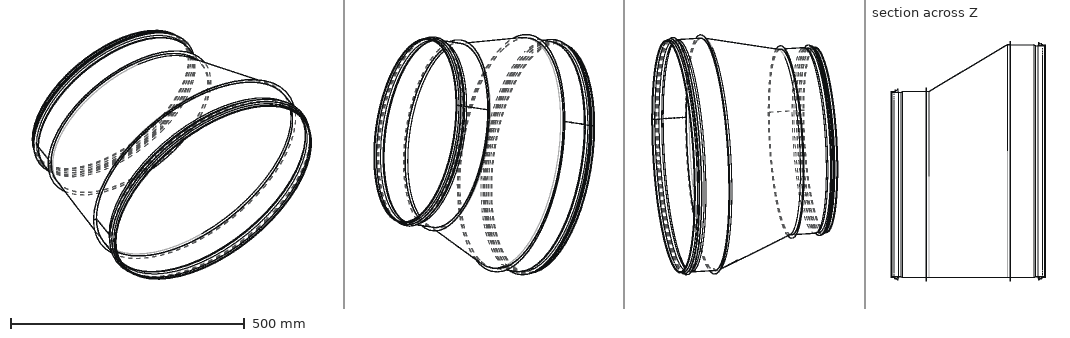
import cadquery as cq

length = 331.0
small_radius = 399.0 / 2
large_radius = 499.0 / 2
wall = 0.5

large_axis_y = 0
small_axis_y = small_radius - large_radius

groove_depth = 1.8
hem_length = 6.5
groove_end = 21.5
ramp_end = 25.0

joint = 75.5
flange_height = 7.0
cone_start = 81.5

seam_gap = 0.25

foot_start = 2.0
gasket_end = 16.0
short_lip_root = 7.0
short_lip_tip = 9.0
short_lip_height = 2.8
valley_depth = 11.5
valley_height = 1.5
long_lip_tip = 14.5
long_lip_height = 5.0
lip_thickness = 1.0

small_end = (0, 1, small_axis_y, small_radius)
large_end = (length, -1, large_axis_y, large_radius)


def ring(outline_points, end):
    """Revolve an outline of (depth from the open end, height above the pipe) points.

    A third entry in a point is the middle of an arc that leads to that point.
    """
    end_x, direction, axis_y, radius = end

    def place(point):
        depth, height = point
        return (end_x + direction * depth, axis_y - radius - height)

    outline = cq.Workplane("XY").moveTo(*place(outline_points[0]))
    for point in outline_points[1:]:
        if len(point) == 3:
            outline = outline.threePointArc(place(point[2]), place(point[:2]))
        else:
            outline = outline.lineTo(*place(point))
    return outline.close().revolve(360, (0, axis_y, 0), (1, axis_y, 0))


def make_collar(end):
    """Thin pipe with a hem folded outward at its open end, a groove, a joint flange and an open seam."""
    hem_radius = (groove_depth + wall) / 2
    hem_middle = -hem_radius
    collar = ring(
        [
            (hem_length, 0),
            (hem_radius, 0),
            (hem_radius, -groove_depth - wall, (0, hem_middle)),
            (groove_end, -groove_depth - wall),
            (ramp_end, -wall),
            (joint, -wall),
            (joint, flange_height),
            (joint - wall, flange_height),
            (joint - wall, 0),
            (ramp_end, 0),
            (groove_end, -groove_depth),
            (hem_radius, -groove_depth),
            (hem_radius, -wall, (wall, hem_middle)),
            (hem_length, -wall),
        ],
        end,
    )
    _, _, axis_y, _ = end
    reach = large_radius + flange_height
    seam = cq.Workplane("XY", origin=(0, axis_y - reach, 0)).box(
        length, reach, seam_gap, centered=(False, False, True)
    )
    return collar.cut(seam)


def make_gasket(end):
    """Rubber ring whose foot sits in the groove under the hem."""
    return ring(
        [
            (foot_start, -groove_depth),
            (foot_start, -wall),
            (short_lip_root, -wall),
            (short_lip_tip, short_lip_height),
            (short_lip_tip + lip_thickness, short_lip_height),
            (valley_depth, valley_height),
            (long_lip_tip, long_lip_height),
            (long_lip_tip + lip_thickness, long_lip_height),
            (gasket_end, -wall),
            (gasket_end, -groove_depth),
        ],
        end,
    )


def cone_core(inset):
    """Solid cone with a short straight neck at each end, shrunk radially by inset."""
    cone_length = length - 2 * cone_start
    neck_length = cone_start - joint
    small = small_radius - inset
    large = large_radius - inset
    plane = cq.Workplane("YZ", origin=(cone_start, 0, 0))
    core = (
        plane.center(small_axis_y, 0).circle(small)
        .workplane(offset=cone_length).center(large_axis_y - small_axis_y, 0).circle(large)
        .loft(ruled=True)
    )
    small_neck = plane.center(small_axis_y, 0).circle(small).extrude(-neck_length)
    large_neck = (
        plane.workplane(offset=cone_length).center(large_axis_y, 0).circle(large).extrude(neck_length)
    )
    return core.union(small_neck).union(large_neck)


def make_cone():
    """Thin oblique cone between the collars, with a flange against each collar flange."""
    shell = cone_core(0).cut(cone_core(wall))
    for end in (small_end, large_end):
        flange = ring(
            [
                (joint, -wall),
                (joint, flange_height),
                (joint + wall, flange_height),
                (joint + wall, -wall),
            ],
            end,
        )
        shell = shell.union(flange)
    return shell


cone = make_cone()
collars = [make_collar(end) for end in (small_end, large_end)]
gaskets = [make_gasket(end) for end in (small_end, large_end)]

result = cq.Compound.makeCompound([body.val() for body in [cone, *collars, *gaskets]])